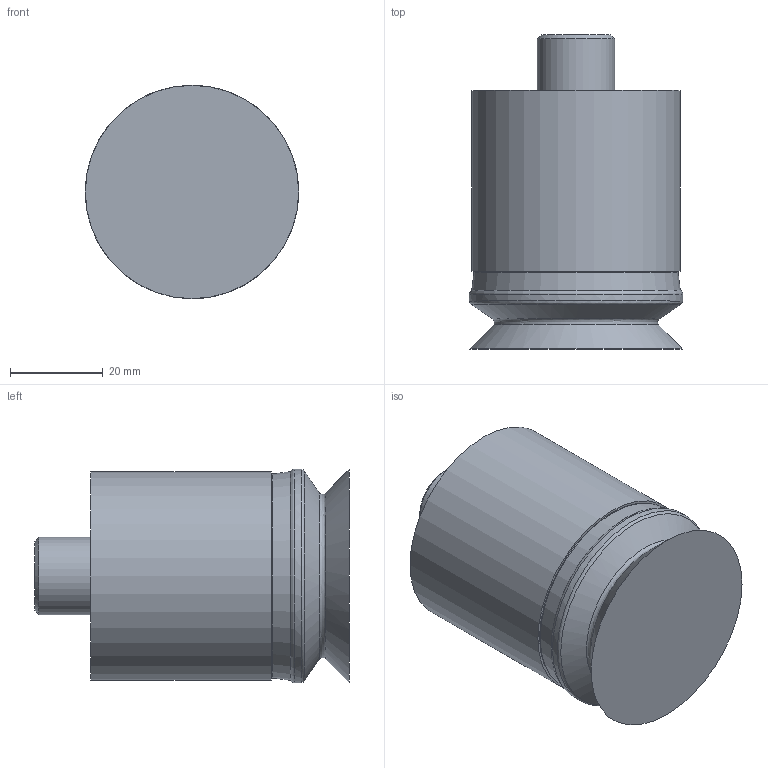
import cadquery as cq
import math

lip_diameter = 46.0
neck_corner_diameter = 34.2
rim_diameter = 46.0
collar_front_diameter = 45.0
collar_rear_diameter = 44.0
body_diameter = 45.0
stud_diameter = 16.66

bellows_rear_run = 3.98
collar_taper_length = 3.88
relief_length = 0.2
body_length = 39.0
stud_length = 12.0

neck_radius = 0.85
rim_front_radius = 0.85
rim_rear_radius = 1.0
stud_chamfer = 0.83

neck_y = (lip_diameter - neck_corner_diameter) / 2
rim_front_y = neck_y + bellows_rear_run
collar_front_y = 12.65
collar_rear_y = collar_front_y + collar_taper_length
body_front_y = collar_rear_y + relief_length
body_rear_y = body_front_y + body_length

rim_step = (rim_diameter - collar_front_diameter) / 2
rim_rear_run = math.sqrt(rim_rear_radius**2 - (rim_rear_radius - rim_step) ** 2)
rim_straight_end_y = collar_front_y - rim_rear_run


def make_bellows():
    """Front lip, necked bellows, rounded rim and tapered collar as one revolved solid."""
    profile = (
        cq.Workplane("XY")
        .lineTo(lip_diameter / 2, 0)
        .lineTo(neck_corner_diameter / 2, neck_y)
        .lineTo(rim_diameter / 2, rim_front_y)
        .lineTo(rim_diameter / 2, rim_straight_end_y)
        .tangentArcPoint((collar_front_diameter / 2, collar_front_y), relative=False)
        .lineTo(collar_rear_diameter / 2, collar_rear_y)
        .lineTo(collar_rear_diameter / 2, body_front_y)
        .lineTo(0, body_front_y)
        .close()
    )
    bellows = profile.revolve(360, (0, 0, 0), (0, 1, 0))
    for edge_y, radius in ((neck_y, neck_radius), (rim_front_y, rim_front_radius)):
        nearest_circle = cq.selectors.NearestToPointSelector((0, edge_y, 0))
        bellows = bellows.edges("%CIRCLE").edges(nearest_circle).fillet(radius)
    return bellows


def make_cylinder(diameter, length, start_y):
    """Cylinder on the Y axis, running toward +Y from start_y."""
    return cq.Workplane("XZ", origin=(0, start_y, 0)).circle(diameter / 2).extrude(-length)


def make_stud():
    """Plain rear stud with a chamfered end."""
    return make_cylinder(stud_diameter, stud_length, body_rear_y).faces(">Y").chamfer(stud_chamfer)


body = make_cylinder(body_diameter, body_length, body_front_y)
result = make_bellows().union(body).union(make_stud())